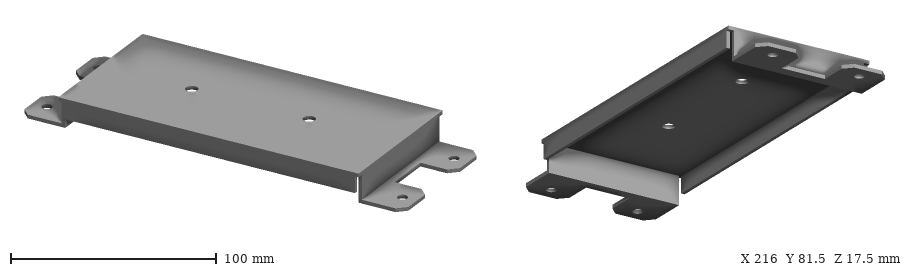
import cadquery as cq

overall_length = 216.0
cover_length = 169.0
cover_width = 81.5
height = 17.5
thickness = 2.0

end_width = 75.0
tab_width = 25.0
tab_notch_depth = 19.7
tab_corner = 4.5
tab_hole_diameter = 5.5
tab_hole_edge_distance = 8.0

flange_height = 11.0
cover_hole_diameter = 6.5
cover_hole_spacing = 66.0

foot_length = (overall_length - cover_length) / 2 + thickness
tab_offset = (end_width - tab_width) / 2
tab_hole_offset = overall_length / 2 - tab_hole_edge_distance
flange_length = cover_length - 2 * thickness


def plate(size_x, size_y, size_z, x, y, bottom):
    """Rectangular plate centred at (x, y) with its underside at bottom."""
    return (
        cq.Workplane("XY", origin=(x, y, bottom))
        .box(size_x, size_y, size_z, centered=(True, True, False))
    )


def cover():
    """Flat top sheet with two through holes on the long axis."""
    sheet = plate(cover_length, cover_width, thickness, 0, 0, height - thickness)
    return (
        sheet.faces(">Z").workplane()
        .rarray(cover_hole_spacing, 2.2, 2, 1)
        .hole(cover_hole_diameter)
    )


def side_flange(side):
    """Short flange hanging from a long edge, between the end walls."""
    y = side * (cover_width - thickness) / 2
    return plate(flange_length, thickness, flange_height, 0, y, height - flange_height)


def end_wall(side):
    """Full-height wall under a short edge of the cover."""
    x = side * (cover_length - thickness) / 2
    return plate(thickness, end_width, height, x, 0, 0)


def foot(side):
    """Outward foot: a strip along the wall carrying two chamfered tabs."""
    strip_length = foot_length - tab_notch_depth
    strip_x = side * (overall_length / 2 - tab_notch_depth - strip_length / 2)
    base = plate(strip_length, end_width, thickness, strip_x, 0, 0)
    tab_x = side * (overall_length - foot_length) / 2
    outer_corners = "|Z and >X" if side > 0 else "|Z and <X"
    for y in (-tab_offset, tab_offset):
        tab = plate(foot_length, tab_width, thickness, tab_x, y, 0)
        base = base.union(tab.edges(outer_corners).chamfer(tab_corner))
    holes = (
        cq.Workplane("XY")
        .pushPoints([(side * tab_hole_offset, y) for y in (-tab_offset, tab_offset)])
        .circle(tab_hole_diameter / 2)
        .extrude(thickness)
    )
    return base.cut(holes)


result = cover()
for direction in (-1, 1):
    result = result.union(side_flange(direction))
    result = result.union(end_wall(direction))
    result = result.union(foot(direction))